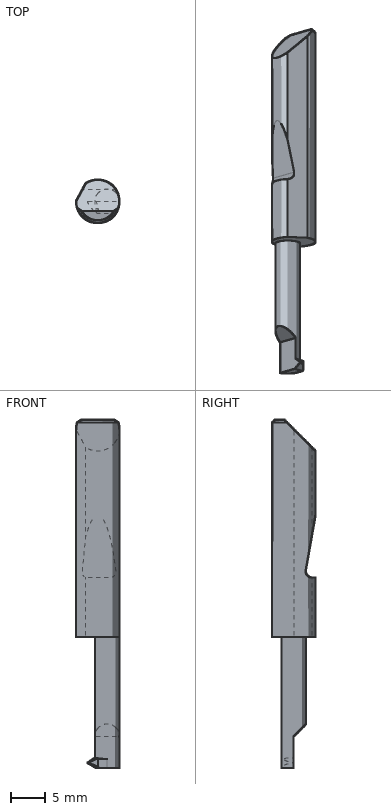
import cadquery as cq
import math

total_length = 50.8
neck_length = 19.1

shank_diameter = 6.35
shank_radius = shank_diameter / 2
end_chamfer = 0.42
end_slope_start_y = -1.38

flat_direction = 151.5
flat_distance = 2.81

notch_floor_z = 27.8
notch_slope_top_z = 36.8
notch_slope_angle = 10.0
notch_corner_radius = 0.9

neck_diameter = 3.6
neck_radius = neck_diameter / 2
neck_x = shank_radius - neck_radius
rake_y = -0.02
neck_cut_z = 4.6

tip_x = -1.52
tip_z = 0.75
tip_block_height = 1.6
upper_flank_angle = 34.0
lower_flank_angle = 30.0
flank_relief = 0.155
clearance_end_x = 0.03
clearance_bulge = 0.2

margin = 1.0


def side_prism(points):
    """Prism across the whole shank width, from (Y, Z) points."""
    return cq.Workplane("YZ").polyline(points).close().extrude(shank_radius + margin, both=True)


def end_slope_cutter():
    reach = shank_radius + margin
    top = total_length + margin
    return side_prism([
        (end_slope_start_y - margin, top),
        (reach, top),
        (reach, total_length - (reach - end_slope_start_y)),
    ])


def flat_cutter():
    thickness = shank_radius
    return (
        cq.Workplane("XY")
        .box(thickness, 2 * shank_diameter, total_length, centered=(False, True, False))
        .translate((flat_distance, 0, 0))
        .rotate((0, 0, 0), (0, 0, 1), flat_direction)
    )


def notch_cutter():
    slope = math.tan(math.radians(notch_slope_angle))
    floor_y = shank_radius - slope * (notch_slope_top_z - notch_floor_z)
    outer_y = shank_radius + margin
    notch = side_prism([
        (floor_y, notch_floor_z),
        (outer_y, notch_floor_z),
        (outer_y, notch_slope_top_z + margin / slope),
    ])
    corner = cq.selectors.NearestToPointSelector((0, floor_y, notch_floor_z))
    return notch.edges("|X").edges(corner).fillet(notch_corner_radius)


def make_shank():
    shank = cq.Workplane("XY").workplane(offset=neck_length).circle(shank_radius)
    shank = shank.extrude(total_length - neck_length)
    shank = shank.faces(">Z").chamfer(end_chamfer)
    return shank.cut(end_slope_cutter()).cut(flat_cutter()).cut(notch_cutter())


def make_neck():
    neck = cq.Workplane("XY").center(neck_x, 0).circle(neck_radius).extrude(neck_length)
    reach = neck_radius + margin
    relief = side_prism([
        (rake_y, -margin),
        (reach, -margin),
        (reach, neck_cut_z + reach - rake_y),
        (rake_y, neck_cut_z),
    ])
    return neck.cut(relief)


def tip_section(depth):
    """Pointed (X, Z) profile of the tip at a depth behind the rake face."""
    drop = flank_relief * depth
    upper_slope = math.tan(math.radians(upper_flank_angle))
    lower_slope = math.tan(math.radians(lower_flank_angle))
    point_shift = 2 * drop / (upper_slope + lower_slope)
    point_x = tip_x + point_shift
    point_z = tip_z + upper_slope * point_shift - drop
    top_z = tip_block_height - drop
    return [
        (point_x, point_z),
        (point_x + (top_z - point_z) / upper_slope, top_z),
        (neck_x, top_z),
        (neck_x, 0),
        (point_x + point_z / lower_slope, 0),
    ]


def below_flank_section(depth):
    """Triangle (X, Z) of the space under the lower flank at a depth behind the rake face."""
    point_x, point_z = tip_section(depth)[0]
    lower_slope = math.tan(math.radians(lower_flank_angle))
    return [
        (point_x, point_z),
        (point_x + (point_z + margin) / lower_slope, -margin),
        (point_x, -margin),
    ]


def loft_behind_rake(section):
    """Solid between a section on the rake plane and the same section at the neck's -Y side."""
    depth = neck_radius + rake_y
    return (
        cq.Workplane("XZ", origin=(0, rake_y, 0))
        .polyline(section(0)).close()
        .workplane(offset=depth)
        .polyline(section(depth)).close()
        .loft(ruled=True)
    )


def make_tip():
    plan = (
        cq.Workplane("XY")
        .moveTo(neck_x, rake_y)
        .lineTo(tip_x, rake_y)
        .sagittaArc((clearance_end_x, -neck_radius), -clearance_bulge)
        .lineTo(neck_x, -neck_radius)
        .close()
        .extrude(tip_block_height)
    )
    return loft_behind_rake(tip_section).intersect(plan)


ground_neck = make_neck().cut(loft_behind_rake(below_flank_section))
result = make_shank().union(ground_neck).union(make_tip())